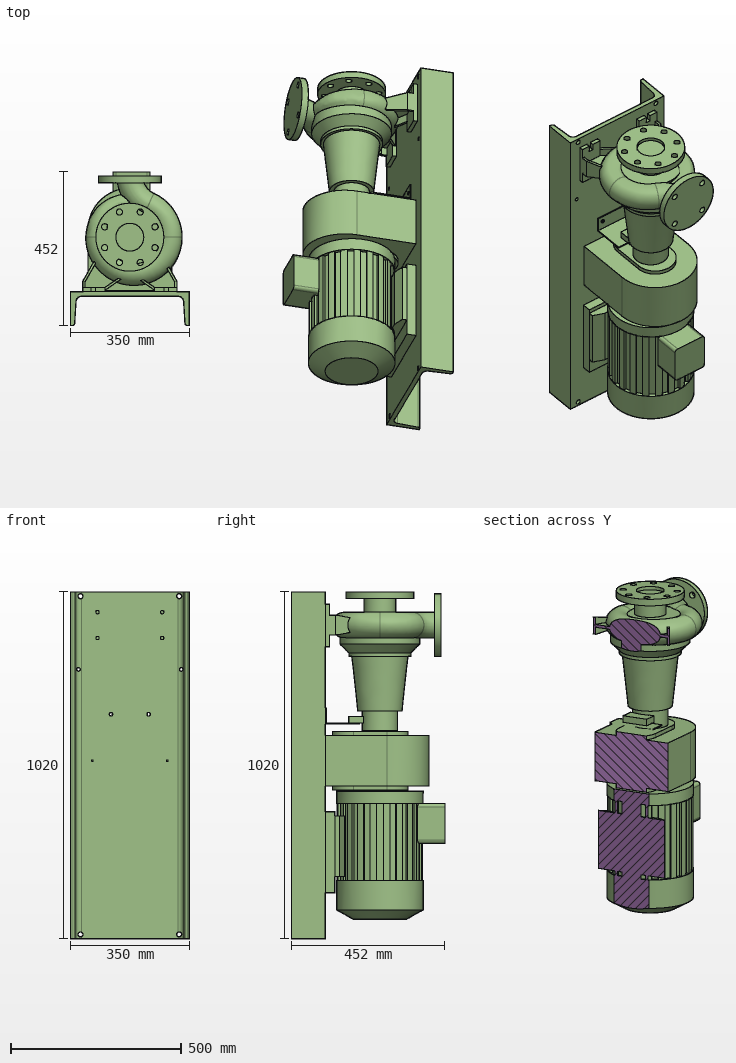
import cadquery as cq
import math


CHANNEL_LENGTH = 1020
CHANNEL_WIDTH = 350
CHANNEL_DEPTH = 100
WEB = 14
FLANGE_MID_THICKNESS = 15.5
FLANGE_TAPER = 0.06
ROOT_RADIUS = 16
TIP_RADIUS = 8
CORNER_HOLE_X = 145
CORNER_HOLE_INSET = 13
CORNER_HOLE_DIA = 14
SIDE_HOLE_X = 151
SIDE_HOLE_DROP = 228
SIDE_HOLE_DIA = 10

SHAFT_Y = 160
TOP = CHANNEL_LENGTH

SUCTION_FLANGE_DIA = 200
SUCTION_BOLT_CIRCLE = 160
SUCTION_BOLTS = 8
SUCTION_BORE_DIA = 82
SUCTION_BORE_DEPTH = 10
SUCTION_NECK_DIA = 94
FLANGE_THICKNESS = 20
FLANGE_BOLT_DIA = 18

VOLUTE_DROP = 98
VOLUTE_Z = TOP - VOLUTE_DROP
TUBE_RADIUS = 38
SCROLL_OFFSET = 12
SCROLL_RADIUS = 104
TONGUE_RADIUS = SCROLL_RADIUS - SCROLL_OFFSET
VOLUTE_DISC_TOP = TOP - 70
TONGUE_MID_RADIUS = 98
TONGUE_END = (25, 265)
TONGUE_END_TUBE_RADIUS = 23
DISCHARGE_FACE_Y = 340
DISCHARGE_FLANGE_DIA = 185
DISCHARGE_BOLT_CIRCLE = 145
DISCHARGE_BOLTS = 4

COVER_DIA = 235
COVER_BOTTOM = 154
COLLAR_DIA = 183
COLLAR_TOP = 180
COLLAR_BOTTOM = 190
FRAME_TOP_DIA = 166
FRAME_BOTTOM_DIA = 131
FRAME_BOTTOM = 351
BEARING_DIA = 105
BEARING_BOTTOM = 408

FOOT_OUTER_X = 139
FOOT_INNER_X = 73
PAD_THICKNESS = 12
PAD_TOP = TOP - 36
PAD_LENGTH = 126
FOOT_SIDE_TOP_Y = 30
FOOT_RIB_THICKNESS = 7
FOOT_RIB_WIDTH = 59
FOOT_RIB_END_WIDTH = 34
FOOT_RIB_END_Y = 100
FOOT_WEB_THICKNESS = 10
FOOT_INNER_EDGE_Y = 4
OUTER_RIB_TOP = (99, FOOT_RIB_END_Y)
INNER_RIB_TOP = (15, 44)
PAD_SLOT_X = 107
PAD_SLOT_WIDTH = 13
PAD_SLOT_DEPTH = 20
PAD_SCREW_X = 95
PAD_SCREW_DIA = 10
PAD_SCREW_DROPS = (60, 136)

BRACKET_WIDTH = 146
BRACKET_SHEET = 3
BRACKET_SHELF_TOP = TOP - 386
BRACKET_REACH = 100
BRACKET_HEIGHT = 48
BRACKET_HOLE_X = 55
BRACKET_HOLE_Z = TOP - 360
BRACKET_HOLE_DIA = 10
BLOCK_WIDTH = 80
BLOCK_HEIGHT = 20
BLOCK_Y_RANGE = (68, 112)

CASING_TOP = TOP - 422
CASING_HEIGHT = 149
CASING_RADIUS = 123.5
CASING_ARC_Y = 181
COVER_PLATE_THICKNESS = 12
COVER_PLATE_RADIUS = CASING_RADIUS / 2
COVER_PLATE_LOW_Y = 82
CASING_SCREW_X = 110
CASING_SCREW_DIA = 5

MOTOR_GAP = 3
MOTOR_TOP = CASING_TOP - CASING_HEIGHT - COVER_PLATE_THICKNESS - MOTOR_GAP
MOTOR_DIA = 255
MOTOR_HEAD_HEIGHT = 36
FIN_LENGTH = 227
FIN_RADIUS = 126
FIN_ROOT_RADIUS = 117
FIN_COUNT = 20
COWL_HEIGHT = 86
COWL_CONE_HEIGHT = 28
COWL_END_DIA = 156
FIN_TOP = MOTOR_TOP - MOTOR_HEAD_HEIGHT
BOX_FACE_Y = 352
BOX_X_RANGE = (-50, 60)
BOX_HEIGHT = 118
BOX_CORNER_RADIUS = 10

PLATE_THICKNESS = 28
PLATE_WIDTH = 252
PLATE_TOP = TOP - 646
PLATE_LENGTH = 239
MOTOR_FOOT_TOP = TOP - 659
MOTOR_FOOT_LENGTH = 178
MOTOR_FOOT_EDGE_Y = 42
MOTOR_FOOT_CREST = (90, 56)


def box(x_range, y_range, z_range):
    """Block between pairs of limits along each axis."""
    size = [high - low for low, high in (x_range, y_range, z_range)]
    corner = (x_range[0], y_range[0], z_range[0])
    return cq.Workplane("XY").box(*size, centered=False).translate(corner)


def disc(diameter, z_top, height):
    """Cylinder on the shaft line, hanging down from z_top."""
    base = cq.Workplane("XY", origin=(0, SHAFT_Y, z_top - height))
    return base.circle(diameter / 2).extrude(height)


def cone(top_dia, bottom_dia, z_top, height):
    """Conical frustum on the shaft line, hanging down from z_top."""
    base = cq.Workplane("XY", origin=(0, SHAFT_Y, z_top - height))
    return base.circle(bottom_dia / 2).workplane(offset=height).circle(top_dia / 2).loft()


def holes_along_y(points, diameter, length):
    """Round cutters that run from Y = 0 towards -Y at the given (X, Z) points."""
    return cq.Workplane("XZ").pushPoints(points).circle(diameter / 2).extrude(length)


def mirrored_points(x, heights):
    """(X, Z) points at both +x and -x for each height."""
    return [(side * x, z) for side in (-1, 1) for z in heights]


def make_channel():
    """Tapered-flange channel with its fixing holes; the flanges point to -Y."""
    half = CHANNEL_WIDTH / 2
    mid_y = (CHANNEL_DEPTH - WEB) / 2
    tip_thickness = FLANGE_MID_THICKNESS - FLANGE_TAPER * mid_y
    root_thickness = FLANGE_MID_THICKNESS + FLANGE_TAPER * mid_y
    profile = [
        (-half, 0),
        (half, 0),
        (half, -CHANNEL_DEPTH),
        (half - tip_thickness, -CHANNEL_DEPTH),
        (half - root_thickness, -WEB),
        (root_thickness - half, -WEB),
        (tip_thickness - half, -CHANNEL_DEPTH),
        (-half, -CHANNEL_DEPTH),
    ]
    channel = cq.Workplane("XY").polyline(profile).close().extrude(CHANNEL_LENGTH)
    for side in (-1, 1):
        root = (side * (half - root_thickness), -WEB, CHANNEL_LENGTH / 2)
        tip = (side * (half - tip_thickness), -CHANNEL_DEPTH, CHANNEL_LENGTH / 2)
        channel = channel.edges(cq.selectors.NearestToPointSelector(root)).fillet(ROOT_RADIUS)
        channel = channel.edges(cq.selectors.NearestToPointSelector(tip)).fillet(TIP_RADIUS)

    corner_heights = (CORNER_HOLE_INSET, TOP - CORNER_HOLE_INSET)
    screw_heights = [TOP - drop for drop in PAD_SCREW_DROPS]
    casing_middle = CASING_TOP - CASING_HEIGHT / 2
    hole_groups = [
        (CORNER_HOLE_X, corner_heights, CORNER_HOLE_DIA),
        (SIDE_HOLE_X, [TOP - SIDE_HOLE_DROP], SIDE_HOLE_DIA),
        (PAD_SCREW_X, screw_heights, PAD_SCREW_DIA),
        (BRACKET_HOLE_X, [BRACKET_HOLE_Z], BRACKET_HOLE_DIA),
        (CASING_SCREW_X, [casing_middle], CASING_SCREW_DIA),
    ]
    for x, heights, diameter in hole_groups:
        channel = channel.cut(holes_along_y(mirrored_points(x, heights), diameter, WEB + ROOT_RADIUS))
    return channel


def make_scroll():
    """Round tube around the impeller that bends into the discharge branch."""
    rise = DISCHARGE_FACE_Y - SHAFT_Y
    bend_radius = (rise**2 + SCROLL_OFFSET**2 - SCROLL_RADIUS**2) / (2 * (SCROLL_RADIUS + SCROLL_OFFSET))
    joint_angle = math.asin(rise / (SCROLL_RADIUS + bend_radius))

    def on_scroll(angle):
        return (
            SCROLL_OFFSET + SCROLL_RADIUS * math.cos(angle),
            SHAFT_Y + SCROLL_RADIUS * math.sin(angle),
        )

    def on_bend(angle):
        return (bend_radius * (1 - math.cos(angle)), DISCHARGE_FACE_Y - bend_radius * math.sin(angle))

    start = (-TONGUE_RADIUS, SHAFT_Y)
    plane = cq.Workplane("XY", origin=(0, 0, VOLUTE_Z))
    path = (
        plane.moveTo(*start)
        .threePointArc(on_scroll(-math.pi / 2), on_scroll(0))
        .threePointArc(on_scroll(joint_angle / 2), on_scroll(joint_angle))
        .threePointArc(on_bend(joint_angle / 2), (0, DISCHARGE_FACE_Y))
    )
    section = cq.Workplane("XZ", origin=(*start, VOLUTE_Z)).circle(TUBE_RADIUS)
    scroll = section.sweep(path)

    tongue_end = (*TONGUE_END, VOLUTE_Z)
    diagonal = TONGUE_MID_RADIUS * math.sqrt(0.5)
    tongue_middle = (-diagonal, SHAFT_Y + diagonal)
    tongue_path = plane.spline([start, tongue_middle, TONGUE_END], tangents=[(0, 1), (1, 0)])
    along_x = cq.Vector(1, 0, 0)
    along_y = cq.Vector(0, 1, 0)
    sections = [
        cq.Wire.makeCircle(TUBE_RADIUS, cq.Vector(*start, VOLUTE_Z), along_y),
        cq.Wire.makeCircle(TONGUE_END_TUBE_RADIUS, cq.Vector(*tongue_end), along_x),
    ]
    tongue = cq.Workplane(cq.Solid.sweep_multi(sections, tongue_path.val()))
    return scroll.union(tongue)


def make_suction():
    """Suction neck and its bolted flange."""
    flange = disc(SUCTION_FLANGE_DIA, TOP, FLANGE_THICKNESS)
    bolts = (
        cq.Workplane("XY", origin=(0, SHAFT_Y, TOP))
        .polarArray(SUCTION_BOLT_CIRCLE / 2, 180 / SUCTION_BOLTS, 360, SUCTION_BOLTS)
        .circle(FLANGE_BOLT_DIA / 2)
        .extrude(-FLANGE_THICKNESS)
    )
    neck = disc(SUCTION_NECK_DIA, TOP, VOLUTE_DROP)
    bore = disc(SUCTION_BORE_DIA, TOP, SUCTION_BORE_DEPTH)
    return flange.cut(bolts).union(neck).cut(bore)


def make_discharge_flange():
    """Bolted flange facing +Y at the end of the branch bend."""
    face = cq.Workplane("XZ", origin=(0, DISCHARGE_FACE_Y, VOLUTE_Z))
    flange = face.circle(DISCHARGE_FLANGE_DIA / 2).extrude(FLANGE_THICKNESS)
    bolts = (
        face.polarArray(DISCHARGE_BOLT_CIRCLE / 2, 180 / DISCHARGE_BOLTS, 360, DISCHARGE_BOLTS)
        .circle(FLANGE_BOLT_DIA / 2)
        .extrude(FLANGE_THICKNESS)
    )
    return flange.cut(bolts)


def make_bearing_frame():
    """Back cover, tapered bearing frame and shaft housing below the volute."""
    cover = disc(COVER_DIA, VOLUTE_Z, COVER_BOTTOM - VOLUTE_DROP)
    slope = cone(COVER_DIA, COLLAR_DIA, TOP - COVER_BOTTOM, COLLAR_TOP - COVER_BOTTOM)
    collar = disc(COLLAR_DIA, TOP - COLLAR_TOP, COLLAR_BOTTOM - COLLAR_TOP)
    frame = cone(FRAME_TOP_DIA, FRAME_BOTTOM_DIA, TOP - COLLAR_BOTTOM, FRAME_BOTTOM - COLLAR_BOTTOM)
    housing = disc(BEARING_DIA, TOP - FRAME_BOTTOM, BEARING_BOTTOM - FRAME_BOTTOM)
    block = box(
        (-BLOCK_WIDTH / 2, BLOCK_WIDTH / 2),
        BLOCK_Y_RANGE,
        (BRACKET_SHELF_TOP, BRACKET_SHELF_TOP + BLOCK_HEIGHT),
    )
    return cover.union(slope).union(collar).union(frame).union(housing).union(block)


def make_pump_foot():
    """Foot at +X: slotted pad, two side ribs that narrow upwards and a thin web between them."""
    pad = box((FOOT_INNER_X, FOOT_OUTER_X), (0, PAD_THICKNESS), (PAD_TOP - PAD_LENGTH, PAD_TOP))
    slot = box(
        (PAD_SLOT_X - PAD_SLOT_WIDTH / 2, PAD_SLOT_X + PAD_SLOT_WIDTH / 2),
        (0, PAD_THICKNESS),
        (PAD_TOP - PAD_SLOT_DEPTH, PAD_TOP),
    )
    outline = [
        (FOOT_INNER_X, 0),
        (FOOT_OUTER_X, 0),
        (FOOT_OUTER_X, FOOT_SIDE_TOP_Y),
        OUTER_RIB_TOP,
        INNER_RIB_TOP,
        (FOOT_INNER_X, FOOT_INNER_EDGE_Y),
    ]
    plane = cq.Workplane("XY", origin=(0, 0, VOLUTE_Z))
    solid = plane.polyline(outline).close().extrude(FOOT_RIB_WIDTH / 2, both=True)
    inside = plane.polyline(outline).close().offset2D(-FOOT_RIB_THICKNESS)
    pocket = inside.extrude(FOOT_RIB_WIDTH / 2, both=True)
    web = plane.polyline(outline).close().extrude(FOOT_WEB_THICKNESS / 2, both=True)
    half_width = FOOT_RIB_WIDTH / 2
    half_end = FOOT_RIB_END_WIDTH / 2
    taper = (
        cq.Workplane("YZ", origin=(0, 0, VOLUTE_Z))
        .polyline(
            [
                (0, -half_width),
                (FOOT_SIDE_TOP_Y, -half_width),
                (FOOT_RIB_END_Y, -half_end),
                (FOOT_RIB_END_Y, half_end),
                (FOOT_SIDE_TOP_Y, half_width),
                (0, half_width),
            ]
        )
        .close()
        .extrude(FOOT_OUTER_X)
    )
    return solid.cut(pocket).intersect(taper).union(web).union(pad).cut(slot)


def make_pump():
    """Complete pump as one solid."""
    volute_disc = disc(2 * TONGUE_RADIUS, VOLUTE_DISC_TOP, VOLUTE_DISC_TOP - VOLUTE_Z)
    pump = make_bearing_frame().union(volute_disc).union(make_scroll())
    pump = pump.union(make_suction()).union(make_discharge_flange())
    foot = make_pump_foot()
    return pump.union(foot).union(foot.mirror("YZ"))


def make_bracket():
    """Bent sheet angle that carries the bearing block."""
    half = BRACKET_WIDTH / 2
    shelf_bottom = BRACKET_SHELF_TOP - BRACKET_SHEET
    shelf = box((-half, half), (0, BRACKET_REACH), (shelf_bottom, BRACKET_SHELF_TOP))
    back = box((-half, half), (0, BRACKET_SHEET), (shelf_bottom, shelf_bottom + BRACKET_HEIGHT))
    holes = holes_along_y(mirrored_points(BRACKET_HOLE_X, [BRACKET_HOLE_Z]), BRACKET_HOLE_DIA, -BRACKET_SHEET)
    return shelf.union(back).cut(holes)


def make_casing():
    """Round-topped belt casing standing on the channel, with an obround plate on each end."""
    bottom = CASING_TOP - CASING_HEIGHT
    body = (
        cq.Workplane("XY", origin=(0, 0, bottom))
        .moveTo(-CASING_RADIUS, 0)
        .lineTo(CASING_RADIUS, 0)
        .lineTo(CASING_RADIUS, CASING_ARC_Y)
        .threePointArc((0, CASING_ARC_Y + CASING_RADIUS), (-CASING_RADIUS, CASING_ARC_Y))
        .close()
        .extrude(CASING_HEIGHT)
    )
    plate_length = CASING_ARC_Y - COVER_PLATE_LOW_Y + 2 * COVER_PLATE_RADIUS
    plates = (
        cq.Workplane("XY", origin=(0, 0, bottom - COVER_PLATE_THICKNESS))
        .center(0, (CASING_ARC_Y + COVER_PLATE_LOW_Y) / 2)
        .slot2D(plate_length, 2 * COVER_PLATE_RADIUS, 90)
        .extrude(CASING_HEIGHT + 2 * COVER_PLATE_THICKNESS)
    )
    return body.union(plates)


def make_fins():
    """Finned motor frame: a cylinder with evenly spaced radial grooves."""
    pitch = 360 / FIN_COUNT
    groove_width = FIN_RADIUS * math.radians(pitch / 2)
    frame = disc(2 * FIN_RADIUS, FIN_TOP, FIN_LENGTH)
    groove = box(
        (FIN_ROOT_RADIUS, MOTOR_DIA / 2),
        (-groove_width / 2, groove_width / 2),
        (FIN_TOP - FIN_LENGTH, FIN_TOP),
    )
    for index in range(FIN_COUNT):
        turned = groove.rotate((0, 0, 0), (0, 0, 1), index * pitch)
        frame = frame.cut(turned.translate((0, SHAFT_Y, 0)))
    return frame


def make_motor():
    """Finned motor with fan cowl, terminal box and foot."""
    cowl_top = FIN_TOP - FIN_LENGTH
    cowl_cone_top = cowl_top - COWL_HEIGHT
    head = disc(MOTOR_DIA, MOTOR_TOP, MOTOR_HEAD_HEIGHT)
    cowl = disc(MOTOR_DIA, cowl_top, COWL_HEIGHT)
    cowl_end = cone(MOTOR_DIA, COWL_END_DIA, cowl_cone_top, COWL_CONE_HEIGHT)
    terminal_box = box(BOX_X_RANGE, (SHAFT_Y, BOX_FACE_Y), (FIN_TOP - BOX_HEIGHT, FIN_TOP))
    terminal_box = terminal_box.edges("|Y").fillet(BOX_CORNER_RADIUS)
    crest_x, crest_y = MOTOR_FOOT_CREST
    half = PLATE_WIDTH / 2
    foot = (
        cq.Workplane("XY", origin=(0, 0, MOTOR_FOOT_TOP - MOTOR_FOOT_LENGTH))
        .polyline(
            [
                (-half, PLATE_THICKNESS),
                (half, PLATE_THICKNESS),
                (half, MOTOR_FOOT_EDGE_Y),
                (crest_x, crest_y),
                (-crest_x, crest_y),
                (-half, MOTOR_FOOT_EDGE_Y),
            ]
        )
        .close()
        .extrude(MOTOR_FOOT_LENGTH)
    )
    return make_fins().union(head).union(cowl).union(cowl_end).union(terminal_box).union(foot)


def make_motor_plate():
    """Spacer plate between the channel and the motor foot."""
    half = PLATE_WIDTH / 2
    return box((-half, half), (0, PLATE_THICKNESS), (PLATE_TOP - PLATE_LENGTH, PLATE_TOP))


bodies = [
    make_channel(),
    make_pump(),
    make_bracket(),
    make_casing(),
    make_motor(),
    make_motor_plate(),
]
result = cq.Compound.makeCompound([body.solids().val() for body in bodies])